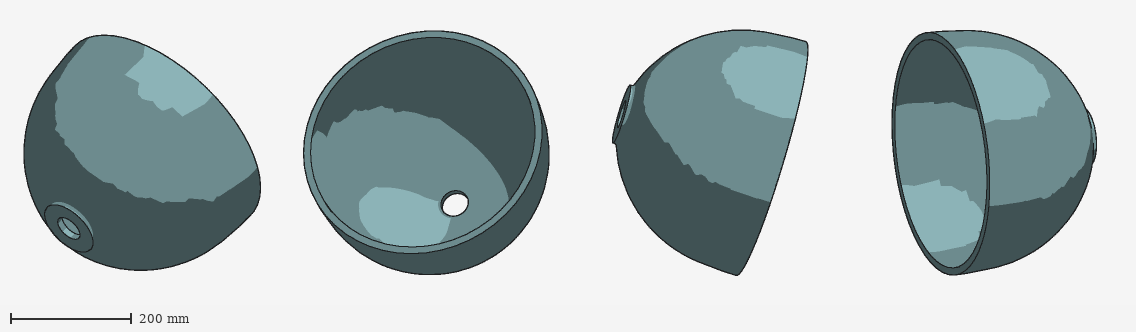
import cadquery as cq
import math

rim_radius = 202.5
bowl_height = 260.0
skirt_height = 69.5
skirt_inset = 4.0
foot_radius = 50.2
foot_rim_height = 2.5
neck_radius = 53.5
neck_height = 7.3
neck_sweep_rise = 2.5
neck_sweep_reach = 1.0
drain_radius = 23.0
wall = 12.0


def point_on_arc(centre, radius, angle):
    return (
        centre[0] + radius * math.cos(angle),
        centre[1] + radius * math.sin(angle),
    )


skirt_arc_radius = (skirt_height**2 + skirt_inset**2) / (2 * skirt_inset)
skirt_centre = (rim_radius - skirt_arc_radius, bowl_height)
skirt_angle = -math.asin(skirt_height / skirt_arc_radius)
skirt_end = point_on_arc(skirt_centre, skirt_arc_radius, skirt_angle)

neck = (neck_radius, neck_height)
rise_radius = skirt_end[0] - neck[0]
rise_height = skirt_end[1] - neck[1]
rise_along_normal = rise_radius * math.cos(skirt_angle) + rise_height * math.sin(skirt_angle)
dome_arc_radius = (rise_radius**2 + rise_height**2) / (2 * rise_along_normal)
dome_centre = point_on_arc(skirt_end, -dome_arc_radius, skirt_angle)
neck_angle = math.atan2(neck[1] - dome_centre[1], neck[0] - dome_centre[0])

inner_skirt_radius = skirt_arc_radius - wall
inner_dome_radius = dome_arc_radius - wall
floor_height = wall
floor_angle = math.asin((floor_height - dome_centre[1]) / inner_dome_radius)


def make_outer_body():
    foot_rim = (foot_radius, foot_rim_height)
    neck_middle = (foot_radius + neck_sweep_reach, foot_rim_height + neck_sweep_rise)
    dome_middle = point_on_arc(dome_centre, dome_arc_radius, (neck_angle + skirt_angle) / 2)
    skirt_middle = point_on_arc(skirt_centre, skirt_arc_radius, skirt_angle / 2)
    return (
        cq.Workplane("XY")
        .lineTo(foot_radius, 0)
        .lineTo(*foot_rim)
        .threePointArc(neck_middle, neck)
        .threePointArc(dome_middle, skirt_end)
        .threePointArc(skirt_middle, (rim_radius, bowl_height))
        .lineTo(0, bowl_height)
        .close()
        .revolve(360, (0, 0, 0), (0, 1, 0))
    )


def make_cavity():
    floor_edge = point_on_arc(dome_centre, inner_dome_radius, floor_angle)
    dome_middle = point_on_arc(dome_centre, inner_dome_radius, (floor_angle + skirt_angle) / 2)
    dome_end = point_on_arc(dome_centre, inner_dome_radius, skirt_angle)
    skirt_middle = point_on_arc(skirt_centre, inner_skirt_radius, skirt_angle / 2)
    return (
        cq.Workplane("XY")
        .moveTo(0, floor_height)
        .lineTo(*floor_edge)
        .threePointArc(dome_middle, dome_end)
        .threePointArc(skirt_middle, (rim_radius - wall, bowl_height))
        .lineTo(0, bowl_height)
        .close()
        .revolve(360, (0, 0, 0), (0, 1, 0))
    )


def make_drain_hole():
    return cq.Workplane("XZ").circle(drain_radius).extrude(-bowl_height)


result = make_outer_body().cut(make_cavity()).cut(make_drain_hole())